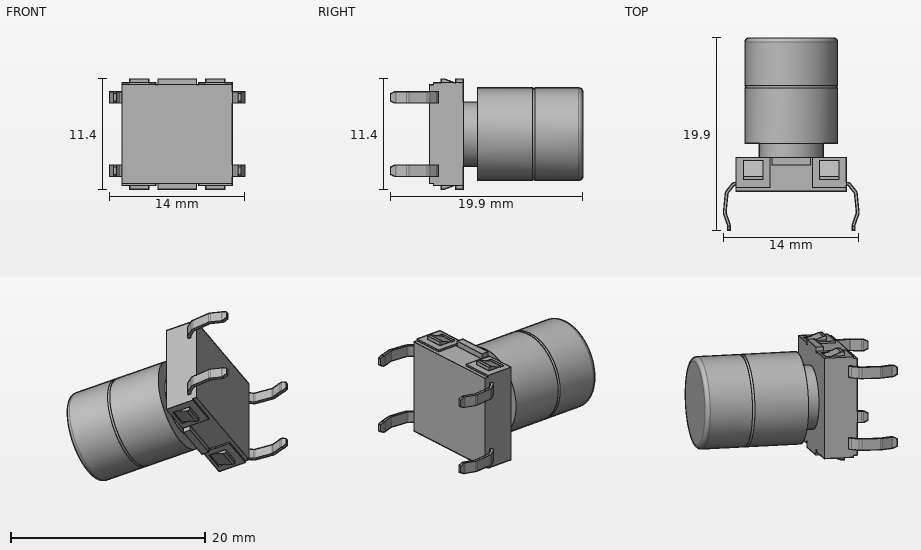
import cadquery as cq


body_width = 11.4
body_depth = 3.51
body_height = 10.2

pad_width = 3.5
pad_depth = 3.1
pad_rise = 0.2

overall_height = 11.4
bar_width = 4.0
bar_depth = 0.8

wedge_width = 1.98
wedge_inset = 0.8
wedge_start = 0.34
wedge_crest = 1.97
wedge_end = 2.3
wedge_recess = 0.24

stem_diameter = 6.65
stem_length = 1.45
cap_diameter = 9.57
cap_top = 12.33
cap_rounding = 0.45
groove_top_distance = 5.06
groove_width = 0.25
groove_depth = 0.1

pin_span = 14.01
overall_length = 19.85
pin_thickness = 0.3
pin_width = 1.2
pin_spacing = 7.56
pin_root_inside = 0.4
pin_exit_depth = 2.72
pin_shoulder_x = 5.94
pin_knee_x = 6.65
pin_knee_depth = 3.63
pin_bulge_depth = 5.74
pin_tip_x = 6.43
pin_tip_bend_depth = 6.95
pin_bend_radius = 0.4
pin_tip_taper_length = 0.44
pin_tip_taper = 0.22

pad_face = body_height / 2 + pad_rise
top_face = overall_height / 2
pin_tip_depth = overall_length - cap_top


def centred_block(width, depth, height):
    """Block centred on X and Z that runs from Y = 0 toward -Y."""
    return cq.Workplane("XY").box(width, depth, height).translate((0, -depth / 2, 0))


def both_sides_in_x(shape):
    return shape.union(shape.mirror("YZ"))


def both_sides_in_z(shape):
    return shape.union(shape.mirror("XY"))


def corner_pads():
    pad = centred_block(pad_width, pad_depth, 2 * pad_face)
    return both_sides_in_x(pad.translate(((body_width - pad_width) / 2, 0, 0)))


def wedge_prism(points):
    """Prism across one wedge width, from (Y, Z) points, copied to all four corners."""
    prism = cq.Workplane("YZ").polyline(points).close().extrude(wedge_width)
    prism = prism.translate((body_width / 2 - wedge_inset - wedge_width, 0, 0))
    return both_sides_in_z(both_sides_in_x(prism))


def latch_wedges():
    return wedge_prism([
        (-wedge_start, 0),
        (-wedge_start, pad_face - wedge_recess),
        (-wedge_crest, top_face),
        (-wedge_end, top_face),
        (-wedge_end, 0),
    ])


def latch_recesses():
    """Space above the ramps where they lie below the pad surface."""
    return wedge_prism([
        (-wedge_start, pad_face - wedge_recess),
        (-wedge_start, top_face),
        (-wedge_crest, top_face),
    ])


def button():
    """Stem and cap as one turned body about the Y axis."""
    cap_radius = cap_diameter / 2
    groove_y = cap_top - groove_top_distance
    profile = (
        cq.Workplane("XY")
        .moveTo(0, 0)
        .lineTo(stem_diameter / 2, 0)
        .lineTo(stem_diameter / 2, stem_length)
        .lineTo(cap_radius, stem_length)
        .lineTo(cap_radius, groove_y - groove_width / 2)
        .threePointArc((cap_radius - groove_depth, groove_y), (cap_radius, groove_y + groove_width / 2))
        .lineTo(cap_radius, cap_top - cap_rounding)
        .radiusArc((cap_radius - cap_rounding, cap_top), -cap_rounding)
        .lineTo(0, cap_top)
        .close()
    )
    return profile.revolve(360, (0, 0, 0), (0, 1, 0))


def bent_strip():
    """Strip of constant thickness that follows the bends of a pin."""
    root_x = body_width / 2 - pin_root_inside
    bulge_x = (pin_span - pin_thickness) / 2
    centre_line = cq.Wire.makePolygon([
        (root_x, -pin_exit_depth),
        (pin_shoulder_x, -pin_exit_depth),
        (pin_knee_x, -pin_knee_depth),
        (bulge_x, -pin_bulge_depth),
        (pin_tip_x, -pin_tip_bend_depth),
        (pin_tip_x, -pin_tip_depth),
    ])
    rounded_line = centre_line.fillet(pin_bend_radius)
    root = cq.Workplane("YZ", origin=(root_x, -pin_exit_depth, 0))
    return root.rect(pin_thickness, pin_width).sweep(cq.Workplane(rounded_line))


def pin_face_outline():
    """Pin as seen from its broad side, with a tapered tip, extruded across all bends."""
    half_width = pin_width / 2
    tip_half_width = half_width - pin_tip_taper
    taper_start = -pin_tip_depth + pin_tip_taper_length
    return (
        cq.Workplane("YZ")
        .polyline([
            (0, half_width),
            (taper_start, half_width),
            (-pin_tip_depth, tip_half_width),
            (-pin_tip_depth, -tip_half_width),
            (taper_start, -half_width),
            (0, -half_width),
        ])
        .close()
        .extrude(pin_span)
    )


def pins():
    pin = bent_strip().intersect(pin_face_outline())
    return both_sides_in_z(both_sides_in_x(pin.translate((0, 0, pin_spacing / 2))))


housing = (
    centred_block(body_width, body_depth, body_height)
    .union(corner_pads())
    .cut(latch_recesses())
    .union(latch_wedges())
    .union(centred_block(bar_width, bar_depth, overall_height))
)

result = housing.union(button()).union(pins())